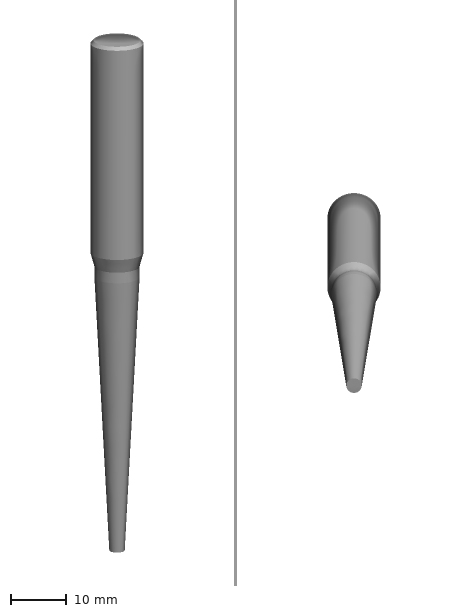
import cadquery as cq

total_length = 95.2
shoulder_height = 55.6
joint_height = 53.0
taper_start_height = 51.0

shank_radius = 4.8
neck_radius = 8.1 / 2
tip_radius = 2.8 / 2

end_chamfer = 0.6


def turned_body(profile):
    """Revolve a closed (radius, height) outline around the Z axis."""
    return cq.Workplane("XZ").polyline(profile).close().revolve(360, (0, 0), (0, 1))


def make_shank():
    """Cylindrical shank with a chamfered top and a conical shoulder below."""
    return turned_body([
        (0, joint_height),
        (neck_radius, joint_height),
        (shank_radius, shoulder_height),
        (shank_radius, total_length - end_chamfer),
        (shank_radius - end_chamfer, total_length),
        (0, total_length),
    ])


def make_tapered_tip():
    """Slender cone with a flat end and a short straight neck that meets the shank."""
    return turned_body([
        (0, 0),
        (tip_radius, 0),
        (neck_radius, taper_start_height),
        (neck_radius, joint_height),
        (0, joint_height),
    ])


shank = make_shank()
tapered_tip = make_tapered_tip()

result = cq.Compound.makeCompound([shank.val(), tapered_tip.val()])